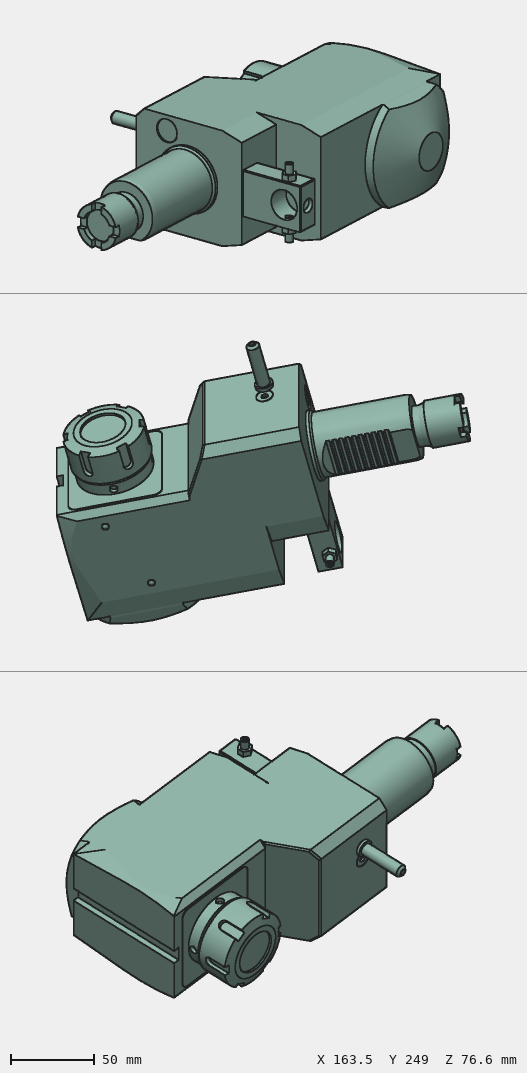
import cadquery as cq
import math


TOP_Z = 37.5
BOTTOM_Z = -TOP_Z
FOOT_LEFT = -38.9
FOOT_RIGHT = 39.5
FOOT_CHAMFER = 6.0
HEAD_LEFT = -9.0
HEAD_RIGHT = 72.5
HEAD_FRONT = 35.0
HEAD_BACK = 156.0
SIDE_EDGE_Z = 33.2
RIGHT_CHAMFER_SLOPE = 0.3
SHOULDER_LOW_Y = 59.0
SHOULDER_HIGH_Y = 75.0
SHOULDER_BEVEL = 1.0
BACK_DRAFT = 15.0
CROWN_X = 21.0
CROWN_HEIGHT = 36.6
CROWN_RADIUS = 146.0
SLOT_WIDTH = 10.0
SLOT_DEPTH = 4.0
PLUG_HOLE_X = -16.0
PLUG_HOLE_Z = 27.3
PLUG_HOLE_DIA = 15.0
PLUG_HOLE_DEPTH = 1.0

SHANK_DIA = 40.0
SHANK_LENGTH = 63.0
SHANK_END_CHAMFER = 0.6
SHANK_END_BAND = 3.0
FLANGE_DIA = 43.0
FLANGE_LENGTH = 2.0
FLANGE_TAPER_END = 3.2
RACK_Z = -16.4
RACK_START = 9.5
RACK_RUNOUT = 4.0
TOOTH_PITCH = 4.0
TOOTH_DEPTH = 1.2
TOOTH_COUNT = 10
NECK_DIA = 25.0
NECK_END = 67.0
CONE_DIA = 27.5
DRIVE_START = 70.8
DRIVE_DIA = 29.0
DRIVE_END = 93.0
DRIVE_BORE_DIA = 20.0
DRIVE_BORE_DEPTH = 3.8
DOG_WIDTH = 7.0
DOG_DEPTH = 3.4

SPINDLE_Y = 119.9
PAD_THICKNESS = 0.4
PAD_LENGTH = 57.6
PAD_HEIGHT = 63.4
PAD_RADIUS = 5.0
RING_DIA = 47.5
RING_START = -17.0
GROOVE_DIA = 41.0
NUT_DIA = 50.0
NUT_BACK = -19.2
NUT_CONE_START = -39.6
NUT_FACE = -41.9
NUT_FACE_DIA = 36.0
COLLET_DIA = 28.0
COLLET_RECESS = 1.5
NUT_SLOT_COUNT = 6
NUT_SLOT_WIDTH = 6.4
NUT_SLOT_END = -24.4
NUT_SLOT_FLOOR = 22.0
RING_HOLE_COUNT = 4
RING_HOLE_DIA = 5.0
RING_HOLE_X = -13.2
RING_HOLE_DEPTH = 3.0

CAP_DIA = 80.0
CAP_CONE_START = 78.5
CAP_TIP = 92.1
CAP_TIP_DIA = 24.0
CAP_BACK_Y = 151.2
CAP_BASE_END = 73.8
CAP_SLOPE = 0.25

ARM_RIGHT = 82.2
ARM_FRONT = 1.3
ARM_DEPTH = 15.0
ARM_HEIGHT = 30.0
ARM_CHAMFER = 0.6
ARM_BORE_X = 70.0
ARM_BORE_DIA = 19.2
SIDE_HOLE_DIA = 9.0
SCREW_Y = 6.5
SCREW_DIA = 5.0
SCREW_END_Z = 25.2
SCREW_RECESS = 1.0
HEX_ACROSS_FLATS = 8.0
HEX_HEIGHT = 4.0
SOCKET_FLATS = 2.5
SOCKET_DEPTH = 2.0

PIN_Y = 21.2
PIN_Z = 15.6
PIN_DIA = 8.0
PIN_TIP = -71.4
PIN_CHAMFER = 1.7
PIN_BORE_DIA = 3.0
PIN_BORE_DEPTH = 2.0
PIN_COLLAR_DIA = 11.0
PIN_COLLAR_LENGTH = 2.2
PLUG_Z = 6.0
PLUG_DIA = 10.4
PLUG_INSET = 0.3
PLUG_SOCKET_DIA = 4.0
PLUG_SOCKET_DEPTH = 2.0
NIPPLE_POINTS = ((2.9, 128.8), (50.2, 111.5))
NIPPLE_DIA = 4.4
NIPPLE_RIM = 0.5
NIPPLE_HEIGHT = 1.6

OVERLAP = 1.0


def block_between(x0, x1, y0, y1, z0, z1):
    return cq.Workplane("XY").box(x1 - x0, y1 - y0, z1 - z0, centered=False).translate((x0, y0, z0))


def cylinder_x(x0, x1, y, z, diameter):
    """Cylinder along X from x0 to x1."""
    return cq.Workplane("YZ", origin=(x0, y, z)).circle(diameter / 2).extrude(x1 - x0)


def extrude_along_y(points, y0, y1):
    """Solid with the given (x, z) outline reaching from y0 to y1."""
    return cq.Workplane("XZ", origin=(0, y0, 0)).polyline(points).close().extrude(y0 - y1)


def revolve_on_spindle(profile):
    """Turn an (x, radius) outline about the spindle axis."""
    sketch = cq.Workplane("XY", origin=(0, SPINDLE_Y, 0)).polyline(profile).close()
    return sketch.revolve(360, (0, 0, 0), (1, 0, 0))


def bevelled_outline(left, right, left_bevel):
    """Cross-section with 45 degree bevels on the left and shallow bevels on the right."""
    right_run = (TOP_Z - SIDE_EDGE_Z) / RIGHT_CHAMFER_SLOPE
    return [
        (left, TOP_Z - left_bevel),
        (left + left_bevel, TOP_Z),
        (right - right_run, TOP_Z),
        (right, SIDE_EDGE_Z),
        (right, -SIDE_EDGE_Z),
        (right - right_run, BOTTOM_Z),
        (left + left_bevel, BOTTOM_Z),
        (left, BOTTOM_Z + left_bevel),
    ]


def make_foot():
    outline = bevelled_outline(FOOT_LEFT, FOOT_RIGHT, FOOT_CHAMFER)
    foot = extrude_along_y(outline, 0, SHOULDER_HIGH_Y)
    corner = (
        cq.Workplane("XY", origin=(0, 0, BOTTOM_Z))
        .polyline([(FOOT_LEFT, SHOULDER_LOW_Y), (HEAD_LEFT, SHOULDER_HIGH_Y), (FOOT_LEFT, SHOULDER_HIGH_Y)])
        .close()
        .extrude(TOP_Z - BOTTOM_Z)
    )
    foot = foot.cut(corner)
    shoulder_edges = foot.faces("<(1, -2, 0)").edges("not(>X)")
    return foot.newObject(shoulder_edges.vals()).chamfer(SHOULDER_BEVEL)


def make_crown_envelope():
    """Drafted envelope whose crowned top and bottom bevel the back of the head."""
    margin = 30.0
    left = HEAD_LEFT - margin
    right = HEAD_RIGHT + margin
    centre_z = CROWN_HEIGHT - CROWN_RADIUS
    dx = HEAD_RIGHT - CROWN_X
    dz = SIDE_EDGE_Z - centre_z
    tangent_angle = math.atan2(dz, dx) + math.acos(CROWN_RADIUS / math.hypot(dx, dz))
    tangent_x = CROWN_X + CROWN_RADIUS * math.cos(tangent_angle)
    tangent_z = centre_z + CROWN_RADIUS * math.sin(tangent_angle)
    right_z = tangent_z - (right - tangent_x) / math.tan(tangent_angle)
    left_z = centre_z + math.sqrt(CROWN_RADIUS**2 - (left - CROWN_X) ** 2)
    length = HEAD_BACK - HEAD_FRONT
    return (
        cq.Workplane("XZ", origin=(0, HEAD_BACK, 0))
        .moveTo(left, left_z)
        .threePointArc((CROWN_X, CROWN_HEIGHT), (tangent_x, tangent_z))
        .lineTo(right, right_z)
        .lineTo(right, -right_z)
        .lineTo(tangent_x, -tangent_z)
        .threePointArc((CROWN_X, -CROWN_HEIGHT), (left, -left_z))
        .close()
        .extrude(length, taper=-BACK_DRAFT)
    )


def make_head():
    outline = bevelled_outline(HEAD_LEFT, HEAD_RIGHT, TOP_Z - SIDE_EDGE_Z)
    head = extrude_along_y(outline, HEAD_FRONT, HEAD_BACK).intersect(make_crown_envelope())
    slot = block_between(
        HEAD_LEFT, HEAD_RIGHT, HEAD_BACK - SLOT_DEPTH, HEAD_BACK, -SLOT_WIDTH / 2, SLOT_WIDTH / 2
    )
    return head.cut(slot)


def make_housing():
    plug_hole = (
        cq.Workplane("XZ", origin=(PLUG_HOLE_X, 0, PLUG_HOLE_Z))
        .circle(PLUG_HOLE_DIA / 2)
        .extrude(-PLUG_HOLE_DEPTH)
    )
    return make_foot().union(make_head()).cut(plug_hole)


def make_shank():
    profile = [
        (0, OVERLAP),
        (FLANGE_DIA / 2, OVERLAP),
        (FLANGE_DIA / 2, -FLANGE_LENGTH),
        (SHANK_DIA / 2, -FLANGE_TAPER_END),
        (SHANK_DIA / 2, -SHANK_LENGTH + SHANK_END_BAND),
        (SHANK_DIA / 2 - SHANK_END_CHAMFER, -SHANK_LENGTH),
        (NECK_DIA / 2, -SHANK_LENGTH),
        (NECK_DIA / 2, -NECK_END),
        (CONE_DIA / 2, -DRIVE_START),
        (DRIVE_DIA / 2, -DRIVE_START),
        (DRIVE_DIA / 2, -DRIVE_END),
        (0, -DRIVE_END),
    ]
    shank = cq.Workplane("XY").polyline(profile).close().revolve(360, (0, 0, 0), (0, 1, 0))
    return shank.cut(make_rack_cut()).cut(make_drive_cuts())


def make_rack_cut():
    """Flat with trapezoidal teeth along the underside of the shank."""
    below = -FLANGE_DIA / 2
    points = [(-RACK_START + RACK_RUNOUT, RACK_Z - RACK_RUNOUT), (-RACK_START, RACK_Z)]
    for tooth in range(TOOTH_COUNT):
        start = -RACK_START - tooth * TOOTH_PITCH
        points.append((start - TOOTH_PITCH / 4, RACK_Z + TOOTH_DEPTH))
        points.append((start - TOOTH_PITCH * 3 / 4, RACK_Z + TOOTH_DEPTH))
        points.append((start - TOOTH_PITCH, RACK_Z))
    points += [
        (-SHANK_LENGTH, RACK_Z),
        (-SHANK_LENGTH, below),
        (-RACK_START + RACK_RUNOUT, below),
    ]
    return cq.Workplane("YZ").polyline(points).close().extrude(SHANK_DIA / 2, both=True)


def make_drive_cuts():
    """Central recess and crossed driving slots at the shank tip."""
    tip = cq.Workplane("XZ", origin=(0, -DRIVE_END, 0))
    cuts = tip.circle(DRIVE_BORE_DIA / 2).extrude(-DRIVE_BORE_DEPTH)
    for angle in (0, 90):
        slot = tip.transformed(rotate=(0, 0, angle)).rect(DRIVE_DIA, DOG_WIDTH).extrude(-DOG_DEPTH)
        cuts = cuts.union(slot)
    return cuts


def cut_around_spindle(body, cutter, count):
    """Cut equally spaced copies of a cutter turned about the spindle axis."""
    for index in range(count):
        body = body.cut(cutter.rotate((0, SPINDLE_Y, 0), (1, SPINDLE_Y, 0), index * 360 / count))
    return body


def make_spindle():
    profile = [
        (HEAD_LEFT + OVERLAP, 0),
        (HEAD_LEFT + OVERLAP, RING_DIA / 2),
        (RING_START, RING_DIA / 2),
        (RING_START, GROOVE_DIA / 2),
        (NUT_BACK, GROOVE_DIA / 2),
        (NUT_BACK, NUT_DIA / 2),
        (NUT_CONE_START, NUT_DIA / 2),
        (NUT_FACE, NUT_FACE_DIA / 2),
        (NUT_FACE, COLLET_DIA / 2),
        (NUT_FACE + COLLET_RECESS, COLLET_DIA / 2),
        (NUT_FACE + COLLET_RECESS, 0),
    ]
    spindle = revolve_on_spindle(profile)
    slot = (
        cq.Workplane("XZ", origin=(NUT_FACE, SPINDLE_Y - NUT_SLOT_FLOOR, 0))
        .slot2D(2 * (NUT_SLOT_END - NUT_FACE), NUT_SLOT_WIDTH)
        .extrude(NUT_DIA / 2)
    )
    spindle = cut_around_spindle(spindle, slot, NUT_SLOT_COUNT)
    hole = (
        cq.Workplane("XY", origin=(RING_HOLE_X, SPINDLE_Y, RING_DIA / 2 - RING_HOLE_DEPTH))
        .circle(RING_HOLE_DIA / 2)
        .extrude(NUT_DIA)
    )
    spindle = cut_around_spindle(spindle, hole, RING_HOLE_COUNT)
    pad = (
        cq.Workplane("YZ", origin=(HEAD_LEFT - PAD_THICKNESS, SPINDLE_Y, 0))
        .rect(PAD_LENGTH, PAD_HEIGHT)
        .extrude(PAD_THICKNESS + OVERLAP)
        .edges("|X")
        .fillet(PAD_RADIUS)
    )
    return spindle.union(pad)


def make_cap():
    start = HEAD_RIGHT - OVERLAP
    profile = [
        (start, 0),
        (start, CAP_DIA / 2),
        (CAP_CONE_START, CAP_DIA / 2),
        (CAP_TIP, CAP_TIP_DIA / 2),
        (CAP_TIP, 0),
    ]
    tip_z = SIDE_EDGE_Z - CAP_SLOPE * (CAP_TIP - CAP_BASE_END)
    envelope = extrude_along_y(
        [
            (start, SIDE_EDGE_Z),
            (CAP_BASE_END, SIDE_EDGE_Z),
            (CAP_TIP, tip_z),
            (CAP_TIP, -tip_z),
            (CAP_BASE_END, -SIDE_EDGE_Z),
            (start, -SIDE_EDGE_Z),
        ],
        SPINDLE_Y - CAP_DIA / 2,
        CAP_BACK_Y,
    )
    return revolve_on_spindle(profile).intersect(envelope)


def make_arm():
    half = ARM_HEIGHT / 2
    arm = block_between(FOOT_RIGHT - OVERLAP, ARM_RIGHT, ARM_FRONT, ARM_FRONT + ARM_DEPTH, -half, half)
    arm = arm.faces(">X or >Z").edges("not(<X)").chamfer(ARM_CHAMFER)
    bore = (
        cq.Workplane("XZ", origin=(ARM_BORE_X, ARM_FRONT, 0))
        .circle(ARM_BORE_DIA / 2)
        .extrude(-ARM_DEPTH)
    )
    side_hole = cylinder_x(ARM_BORE_X, ARM_RIGHT, ARM_FRONT + ARM_DEPTH / 2, 0, SIDE_HOLE_DIA)
    arm = arm.cut(bore).cut(side_hole)
    axis = cq.Workplane("XY", origin=(ARM_BORE_X, SCREW_Y, half))
    hex_dia = HEX_ACROSS_FLATS / math.cos(math.pi / 6)
    socket_dia = SOCKET_FLATS / math.cos(math.pi / 6)
    nut = axis.polygon(6, hex_dia).extrude(HEX_HEIGHT)
    stud = axis.circle(SCREW_DIA / 2).extrude(SCREW_END_Z - half)
    socket = axis.workplane(offset=SCREW_END_Z - half).polygon(6, socket_dia).extrude(-SOCKET_DEPTH)
    screw = nut.union(stud).cut(socket)
    recess = (
        cq.Workplane("XY", origin=(ARM_BORE_X, SCREW_Y, 0))
        .circle(SCREW_DIA / 2)
        .extrude(ARM_BORE_DIA / 2 + SCREW_RECESS)
    )
    arm = arm.cut(recess).cut(recess.mirror("XY"))
    return arm.union(screw).union(screw.mirror("XY"))


def make_pin():
    root = FOOT_LEFT + OVERLAP
    pin = cylinder_x(PIN_TIP, root, PIN_Y, PIN_Z, PIN_DIA).faces("<X").chamfer(PIN_CHAMFER)
    bore = cylinder_x(PIN_TIP, PIN_TIP + PIN_BORE_DEPTH, PIN_Y, PIN_Z, PIN_BORE_DIA)
    collar = cylinder_x(FOOT_LEFT - PIN_COLLAR_LENGTH, root, PIN_Y, PIN_Z, PIN_COLLAR_DIA)
    return pin.cut(bore).union(collar)


def make_plug_cut():
    seat = cylinder_x(FOOT_LEFT, FOOT_LEFT + PLUG_INSET, PIN_Y, PLUG_Z, PLUG_DIA)
    return seat.union(cylinder_x(FOOT_LEFT, FOOT_LEFT + PLUG_SOCKET_DEPTH, PIN_Y, PLUG_Z, PLUG_SOCKET_DIA))


def make_nipple(x, y):
    profile = [
        (0, OVERLAP),
        (NIPPLE_DIA / 2, OVERLAP),
        (NIPPLE_DIA / 2, -NIPPLE_RIM),
        (0, -NIPPLE_HEIGHT),
    ]
    nipple = cq.Workplane("XZ").polyline(profile).close().revolve(360, (0, 0, 0), (0, 1, 0))
    return nipple.translate((x, y, BOTTOM_Z))


result = make_housing().cut(make_plug_cut())
for piece in (make_shank(), make_spindle(), make_cap(), make_arm(), make_pin()):
    result = result.union(piece)
for nipple_x, nipple_y in NIPPLE_POINTS:
    result = result.union(make_nipple(nipple_x, nipple_y))